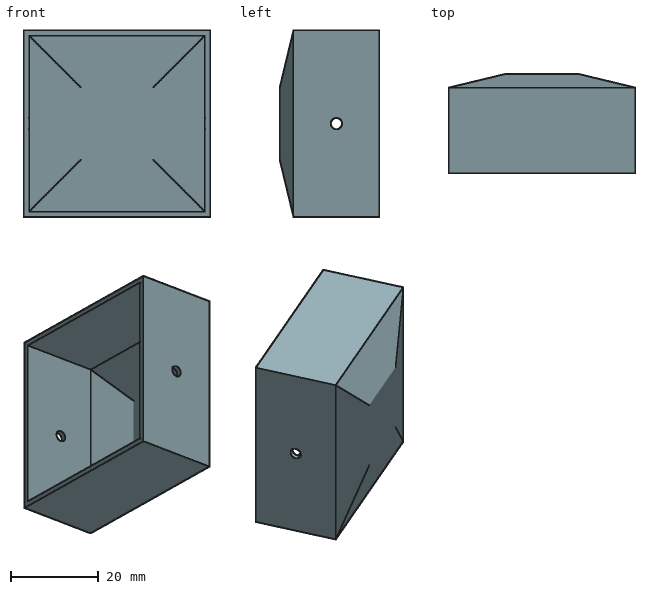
import cadquery as cq

side = 42.5
depth = 22.7
wall_depth = 19.55
wall = 1.25
shoulder_thickness = 0.98
crown_thickness = 1.25
roof_flat = 16.45
hole_diameter = 2.5
hole_from_rim = 9.78

rim_y = -depth / 2
shoulder_y = rim_y + wall_depth
crown_y = depth / 2


def box_with_roof(width, flat_width, roof_start_y, roof_end_y):
    """Square prism from the rim, continued by a tapering roof."""
    prism = (
        cq.Workplane("XZ", origin=(0, rim_y, 0))
        .rect(width, width)
        .extrude(rim_y - roof_start_y)
    )
    roof = (
        cq.Workplane("XZ", origin=(0, roof_start_y, 0))
        .rect(width, width)
        .workplane(offset=roof_start_y - roof_end_y)
        .rect(flat_width, flat_width)
        .loft(ruled=True)
    )
    return prism.union(roof)


outer = box_with_roof(side, roof_flat, shoulder_y, crown_y)
cavity = box_with_roof(
    side - 2 * wall, roof_flat, shoulder_y - shoulder_thickness, crown_y - crown_thickness
)

cross_hole = (
    cq.Workplane("YZ")
    .center(rim_y + hole_from_rim, 0)
    .circle(hole_diameter / 2)
    .extrude(side, both=True)
)

result = outer.cut(cavity).cut(cross_hole)